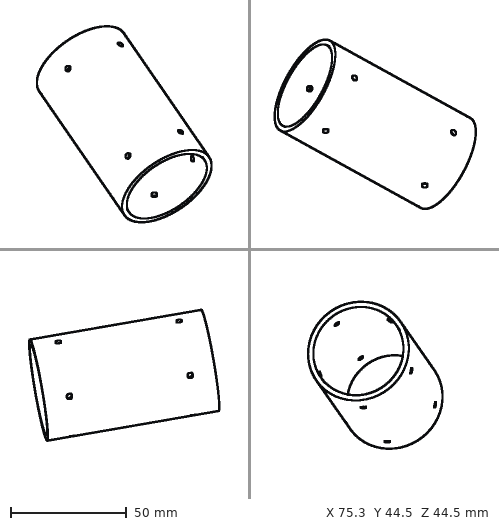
import cadquery as cq

tube_length = 75.33
outer_diameter = 44.45
inner_diameter = 39.69

hole_diameter = 2.38
holes_per_ring = 5
hole_pitch_angle = 360 / holes_per_ring
ring_end_distance = 11.11
ring_offset = tube_length / 2 - ring_end_distance


def make_tube():
    """Plain tube along X, centred on the origin."""
    return (
        cq.Workplane("YZ")
        .circle(outer_diameter / 2)
        .circle(inner_diameter / 2)
        .extrude(tube_length / 2, both=True)
    )


def make_hole_cutter(x_position, angle):
    """Pin running from the tube axis out through one wall, turned about X from straight down."""
    axis_point = cq.Vector(x_position, 0, 0)
    down = cq.Vector(0, 0, -1)
    pin = cq.Solid.makeCylinder(hole_diameter / 2, outer_diameter, axis_point, down)
    return pin.rotate(cq.Vector(0, 0, 0), cq.Vector(1, 0, 0), angle)


def drill_ring(body, x_position):
    """Drill one ring of evenly spaced radial holes."""
    for index in range(holes_per_ring):
        body = body.cut(make_hole_cutter(x_position, index * hole_pitch_angle))
    return body


result = make_tube()
for ring_position in (-ring_offset, ring_offset):
    result = drill_ring(result, ring_position)